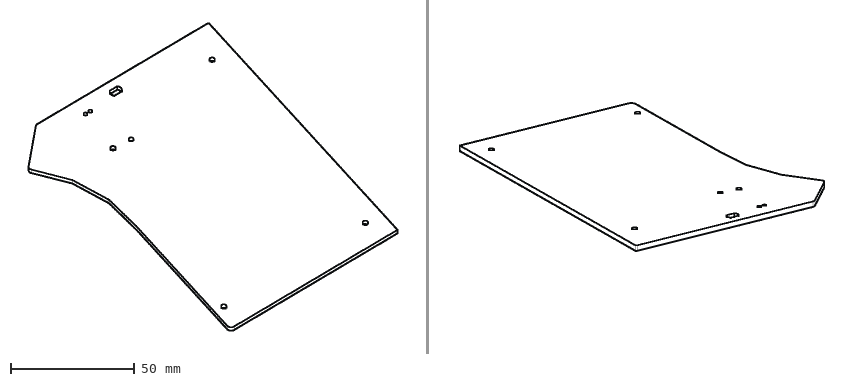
import cadquery as cq

length = 129.5
depth = 102.1
thickness = 2.5

front_edge_y = 17.7
left_corner_y = 15.2
tip_point = (15.9, -0.5)
curve_points = [(31.2, 10.6), (48.0, 16.7), (66.0, front_edge_y)]
corner_radius = 2.1
tip_radius = 1.5
back_left_radius = 0.5
bend_radius = 3.9

mount_diameter = 2.2
mount_centers = [(15.8, 92.2), (118.9, 93.7), (118.9, 22.4), (28.0, 33.4)]
locator_diameter = 2.0
locator_centers = [(28.8, 42.0)]
pin_diameter = 1.5
pin_centers = [(7.5, 37.0), (7.5, 34.6)]

slot_center = (5.5, 51.4)
slot_width = 3.1
slot_length = 5.2
slot_end_diameter = 4.1


def make_plate():
    outline = [
        (0, depth),
        (0, left_corner_y),
        tip_point,
        *curve_points,
        (length, front_edge_y),
        (length, depth),
    ]
    plate = cq.Workplane("XY").polyline(outline).close().extrude(thickness)
    for point in [(0, left_corner_y), (length, front_edge_y)]:
        plate = round_corner(plate, point, corner_radius)
    plate = round_corner(plate, tip_point, tip_radius)
    plate = round_corner(plate, (0, depth), back_left_radius)
    return round_corner(plate, curve_points[1], bend_radius)


def round_corner(plate, point, radius):
    nearest_edge = cq.selectors.NearestToPointSelector((*point, thickness / 2))
    return plate.edges("|Z").edges(nearest_edge).fillet(radius)


def make_holes(centers, diameter):
    return cq.Workplane("XY").pushPoints(centers).circle(diameter / 2).extrude(thickness)


def make_slot():
    """Trim a round-ended slot to a narrower width, leaving shallow arcs at its ends."""
    rounded = cq.Workplane("XY").center(*slot_center).slot2D(slot_length, slot_end_diameter, 90)
    strip = cq.Workplane("XY").center(*slot_center).rect(slot_width, slot_length)
    return rounded.extrude(thickness).intersect(strip.extrude(thickness))


result = (
    make_plate()
    .cut(make_holes(mount_centers, mount_diameter))
    .cut(make_holes(locator_centers, locator_diameter))
    .cut(make_holes(pin_centers, pin_diameter))
    .cut(make_slot())
)